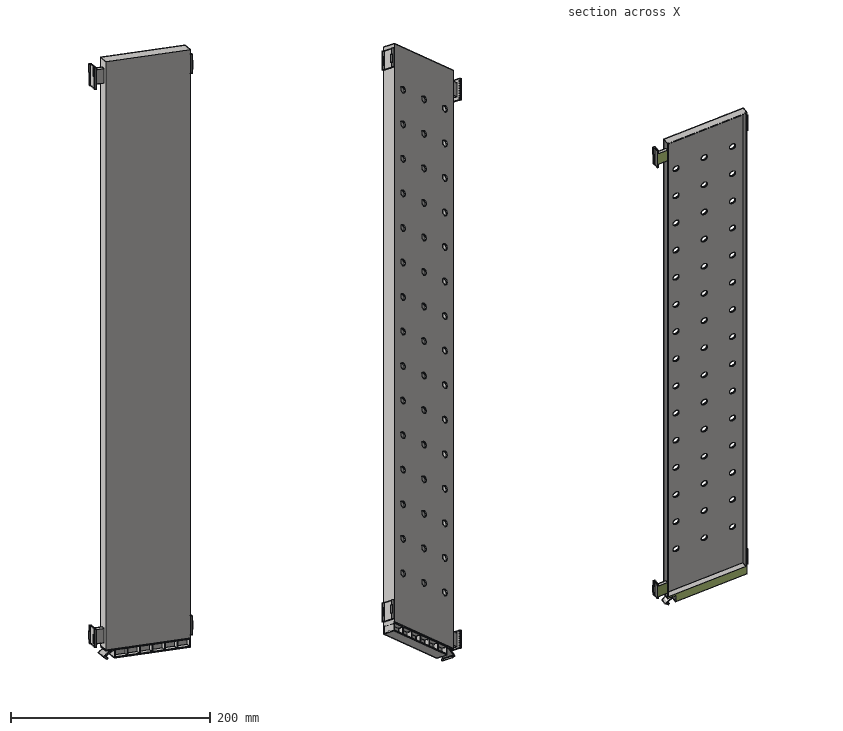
import cadquery as cq

overall_height = 638.5
panel_thickness = 15.0
panel_width = 92.0
panel_bottom = 10.0
panel_wall = 1.6

hole_diameter = 7.0
hole_columns = 3
hole_rows = 15
hole_column_pitch = 32.5
first_hole_row = 67.0
last_hole_row = 592.5
hole_row_pitch = (last_hole_row - first_hole_row) / (hole_rows - 1)

foot_inset = 0.5
foot_thickness = panel_thickness - 2 * foot_inset
foot_length = 82.5
foot_bottom = 0.3
foot_plate = 1.0
flange_thickness = 1.0
flange_end_inset = 0.3
foot_web = 2.0
rib_thickness = 1.15
rib_count = 7
foot_back = panel_width / 2
flange_front = flange_end_inset - panel_width / 2
foot_front = foot_back - foot_length
rib_pitch = (foot_length - rib_thickness) / (rib_count - 1)
flange_bottom = panel_bottom - flange_thickness

lip_root = -39.0
lip_root_width = 2.5
lip_bend = (-45.0, 6.5)
lip_nose = (-48.5, 3.0)
lip_toe = (-45.0, 0.0)
lip_toe_inner = (-43.5, 1.0)
lip_fold = (-46.0, 3.4)
lip_inner_bend = (-43.0, 5.6)

plate_thickness = 1.0
rail_width = 2.5
rail_thickness = 0.5
lug_inset = 0.5
lug_rise = 0.95
lug_height = 9.0
stem_length = 10.0
stem_thickness = 6.0
stem_height = 15.5


def box(x_range, y_range, z_range):
    """Box between the given lower and upper bounds."""
    sizes = [high - low for low, high in (x_range, y_range, z_range)]
    corner = (x_range[0], y_range[0], z_range[0])
    return cq.Workplane("XY").box(*sizes, centered=False).translate(corner)


def centred(size):
    """Bounds of a length centred on zero."""
    return (-size / 2, size / 2)


def make_board():
    """Closed hollow board with the grid of holes through its -X wall."""
    board = box(centred(panel_thickness), centred(panel_width), (panel_bottom, overall_height))
    cavity = box(
        centred(panel_thickness - 2 * panel_wall),
        centred(panel_width - 2 * panel_wall),
        (panel_bottom + panel_wall, overall_height - panel_wall),
    )
    holes = (
        cq.Workplane("YZ", origin=(-panel_thickness / 2, 0, (first_hole_row + last_hole_row) / 2))
        .rarray(hole_column_pitch, hole_row_pitch, hole_columns, hole_rows)
        .circle(hole_diameter / 2)
        .extrude(panel_wall)
    )
    return board.cut(cavity).cut(holes)


def make_foot():
    """Flange, middle web, bottom plate and cross ribs under the board."""
    width = centred(foot_thickness)
    length = (foot_front, foot_back)
    foot = box(width, (flange_front, foot_back), (flange_bottom, panel_bottom))
    foot = foot.union(box(width, length, (foot_bottom, foot_bottom + foot_plate)))
    foot = foot.union(box(centred(foot_web), length, (foot_bottom, panel_bottom)))
    for index in range(rib_count):
        rib_front = foot_front + index * rib_pitch
        rib_span = (rib_front, rib_front + rib_thickness)
        foot = foot.union(box(width, rib_span, (foot_bottom, panel_bottom)))
    return foot


def make_lip():
    """Curved sealing lip at the -Y end of the foot, as wide as the foot."""
    return (
        cq.Workplane("YZ", origin=(-foot_thickness / 2, 0, 0))
        .moveTo(lip_root, flange_bottom)
        .threePointArc(lip_bend, lip_nose)
        .lineTo(*lip_toe)
        .lineTo(*lip_toe_inner)
        .lineTo(*lip_fold)
        .threePointArc(lip_inner_bend, (lip_root + lip_root_width, flange_bottom))
        .close()
        .extrude(foot_thickness)
    )


def make_panel():
    """One solid: the board with its foot and sealing lip."""
    return make_board().union(make_foot()).union(make_lip())


def make_connector(side, gap, plate_range, lug_middle):
    """Plate with two edge rails and two lugs, facing +Y (side 1) or -Y (side -1).

    A gap between the plate and the panel is bridged by a stem.
    """
    face = panel_width / 2
    plate_inner = face + gap
    plate_outer = plate_inner + plate_thickness
    rail_outer = plate_outer + rail_thickness
    lug_range = (lug_middle - lug_height / 2, lug_middle + lug_height / 2)

    connector = box(centred(panel_thickness), (plate_inner, plate_outer), plate_range)
    for edge in (-1, 1):
        outer_x = edge * panel_thickness / 2
        inner_x = outer_x - edge * rail_width
        lug_x = outer_x - edge * lug_inset
        rail = box(sorted((inner_x, outer_x)), (plate_outer, rail_outer), plate_range)
        lug = box(sorted((inner_x, lug_x)), (plate_outer, rail_outer + lug_rise), lug_range)
        connector = connector.union(rail).union(lug)
    if gap > 0:
        stem_middle = sum(plate_range) / 2
        stem_range = (stem_middle - stem_height / 2, stem_middle + stem_height / 2)
        connector = connector.union(box(centred(stem_thickness), (face, plate_inner), stem_range))
    return connector if side > 0 else connector.mirror("XZ")


panel = make_panel()

connector_places = [
    (1, 0, (613.0, 633.5), 622.0),
    (1, 0, (13.5, 34.0), 23.5),
    (-1, stem_length, (610.5, 633.5), 629.0),
    (-1, stem_length, (15.0, 34.0), 23.5),
]
connectors = [make_connector(*place) for place in connector_places]

result = cq.Compound.makeCompound([panel.val(), *[connector.val() for connector in connectors]])